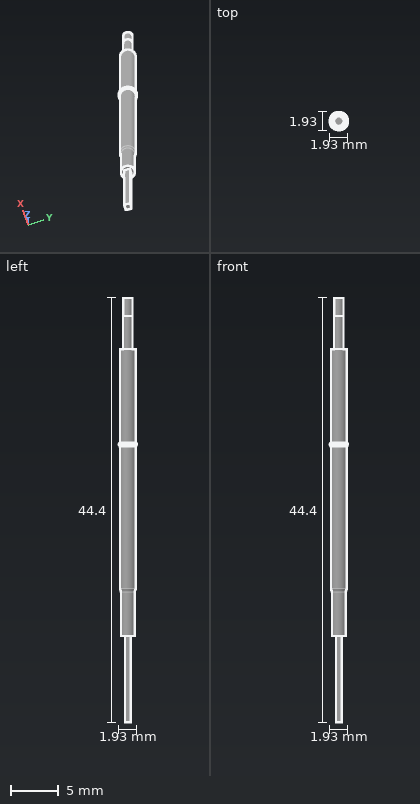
import cadquery as cq

overall_length = 44.35
probe_projection = 5.35

body_diameter = 1.68
bore_diameter = 1.38
tail_diameter = 1.47
collar_diameter = 1.93
body_length = 25.02
shoulder_length = 0.35
mouth_to_tail_end = 30.0
mouth_to_collar = 9.75
collar_upper_slope = 0.2
collar_lower_slope = 0.25
post_width = 0.64

barrel_diameter = 1.36
barrel_recess = 0.5
plunger_diameter = 1.02
tip_diameter = 1.0
tip_length = 1.9

probe_top = overall_length
mouth_z = probe_top - probe_projection
shoulder_top = mouth_z - body_length
shoulder_bottom = shoulder_top - shoulder_length
tail_end = mouth_z - mouth_to_tail_end
collar_top = mouth_z - mouth_to_collar
collar_ridge = collar_top - collar_upper_slope
collar_bottom = collar_ridge - collar_lower_slope

def cylinder(diameter, bottom, top):
    return cq.Workplane("XY").workplane(offset=bottom).circle(diameter / 2).extrude(top - bottom)

def make_receptacle():
    """Turned sleeve with a collar, a blind bore and a square post at its lower end."""
    outline = [
        (0, tail_end),
        (tail_diameter / 2, tail_end),
        (tail_diameter / 2, shoulder_bottom),
        (body_diameter / 2, shoulder_top),
        (body_diameter / 2, collar_bottom),
        (collar_diameter / 2, collar_ridge),
        (body_diameter / 2, collar_top),
        (body_diameter / 2, mouth_z),
        (0, mouth_z),
    ]
    sleeve = cq.Workplane("XZ").polyline(outline).close().revolve(360, (0, 0), (0, 1))
    post = cq.Workplane("XY").rect(post_width, post_width).extrude(tail_end)
    bore = cylinder(bore_diameter, shoulder_top, mouth_z)
    return sleeve.union(post).cut(bore)

def make_probe():
    """Barrel seated on the floor of the bore, with the plunger and its tip above it."""
    tip_bottom = probe_top - tip_length
    barrel_top = mouth_z - barrel_recess
    barrel = cylinder(barrel_diameter, shoulder_top, barrel_top)
    plunger = cylinder(plunger_diameter, barrel_top, tip_bottom)
    tip = cylinder(tip_diameter, tip_bottom, probe_top)
    return barrel.union(plunger).union(tip)

receptacle = make_receptacle()
probe = make_probe()
result = cq.Compound.makeCompound([receptacle.val(), probe.val()])